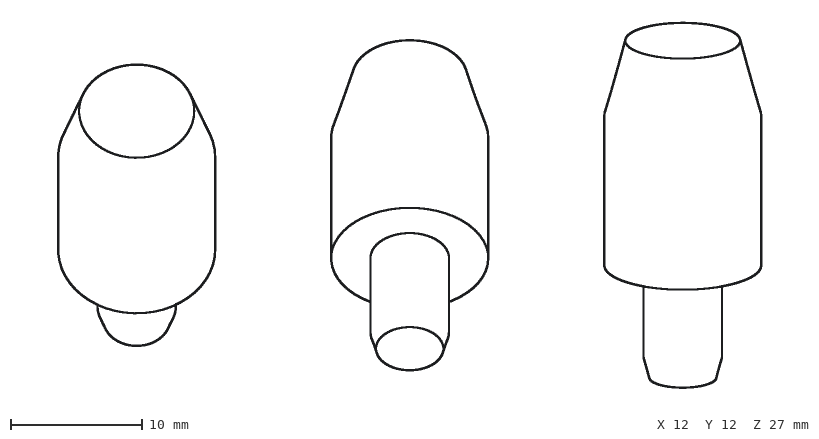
import cadquery as cq
import math

total_height = 27.0
body_diameter = 12.0
stem_diameter = body_diameter / 2
stem_length = 9.0
nose_height = 6.0
stem_lead_height = 1.6
taper_angle = 15.0

taper_slope = math.tan(math.radians(taper_angle))
body_radius = body_diameter / 2
stem_radius = stem_diameter / 2
nose_tip_radius = body_radius - nose_height * taper_slope
stem_tip_radius = stem_radius - stem_lead_height * taper_slope
nose_base_z = total_height - nose_height

half_section = (
    cq.Workplane("XZ")
    .moveTo(0, 0)
    .lineTo(stem_tip_radius, 0)
    .lineTo(stem_radius, stem_lead_height)
    .lineTo(stem_radius, stem_length)
    .lineTo(body_radius, stem_length)
    .lineTo(body_radius, nose_base_z)
    .lineTo(nose_tip_radius, total_height)
    .lineTo(0, total_height)
    .close()
)

result = half_section.revolve(360, (0, 0), (0, 1))